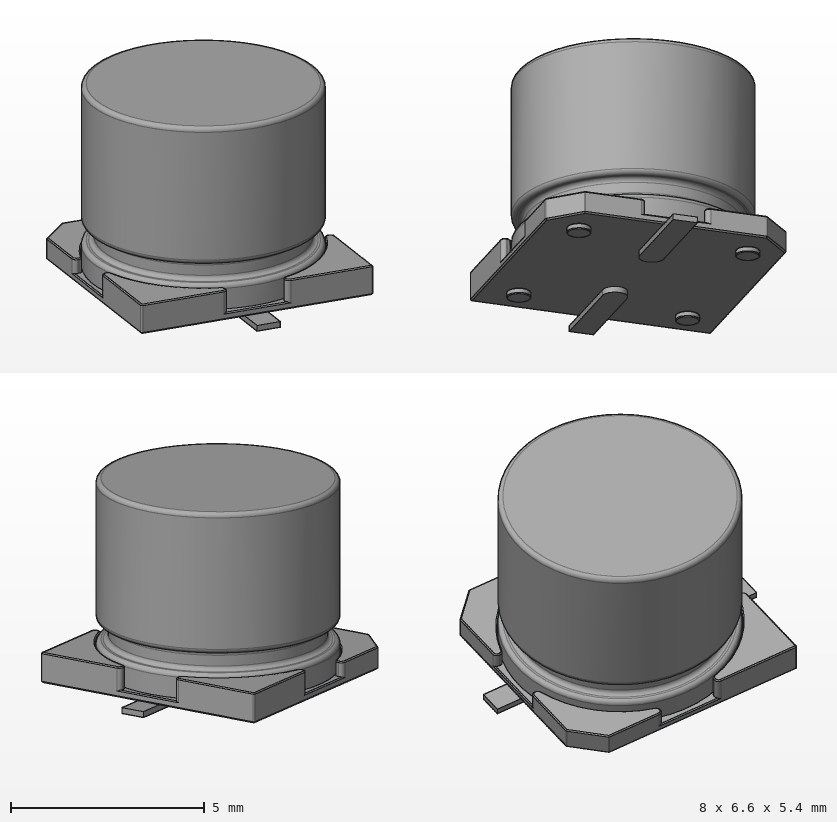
import cadquery as cq
import math

total_height = 5.4
lead_span = 8.0

base_width = 6.6
base_bottom = 0.16
floor_top = 0.36
low_post_top = 0.77
high_post_top = 0.98
corner_cut = 0.8
edge_break = 0.03
bottom_break = 0.04
vertical_round = 0.04
gap_half_width = 0.83
post_end_radius = 0.12
can_clearance = 0.02

can_radius = 6.3 / 2
groove_radius = 5.67 / 2
groove_bottom = 1.06
groove_top = 1.6
can_round = 0.13

lead_width = 0.66
lead_inner_end = 1.09
foot_diameter = 0.63
foot_offset = 2.31
foot_break = 0.02

half_base = base_width / 2
bore_radius = can_radius + can_clearance


def tray_slab(bottom, top):
    """Slab with the tray outline: square, two cut corners at -X, rounded vertical edges."""
    slab = cq.Workplane("XY").workplane(offset=bottom).rect(base_width, base_width).extrude(top - bottom)
    slab = slab.edges("|Z and <X").chamfer(corner_cut)
    return slab.edges("|Z").fillet(vertical_round)


def make_floor():
    """Thin tray floor with broken edges all round."""
    floor = tray_slab(base_bottom, floor_top)
    floor = floor.faces(">Z").edges().chamfer(edge_break)
    return floor.faces("<Z").edges().chamfer(bottom_break)


def make_post(x_side, y_side):
    """Corner post that hugs the can and ends in rounded tips at the gaps."""
    top = low_post_top if x_side < 0 else high_post_top
    bottom = floor_top - edge_break
    height = top - bottom
    side = half_base - gap_half_width
    center = gap_half_width + side / 2
    level = cq.Workplane("XY").workplane(offset=bottom)
    corner_block = level.center(x_side * center, y_side * center).rect(side, side).extrude(height)
    can_bore = level.circle(bore_radius).extrude(height)
    post = tray_slab(bottom, top).intersect(corner_block).cut(can_bore)
    bore_reach = math.sqrt(bore_radius**2 - gap_half_width**2)
    for reach in (half_base, bore_reach):
        for x_tip, y_tip in ((reach, gap_half_width), (gap_half_width, reach)):
            tip = (x_side * x_tip, y_side * y_tip, bottom + height / 2)
            post = post.edges("|Z").edges(cq.selectors.NearestToPointSelector(tip)).fillet(post_end_radius)
    return post.faces(">Z").edges().chamfer(edge_break)


def make_can():
    """Can with a rolled groove near its foot and rounded shoulders."""
    half_profile = (
        cq.Workplane("XZ")
        .moveTo(0, base_bottom)
        .lineTo(can_radius, base_bottom)
        .lineTo(can_radius, groove_bottom)
        .lineTo(groove_radius, groove_bottom)
        .lineTo(groove_radius, groove_top)
        .lineTo(can_radius, groove_top)
        .lineTo(can_radius, total_height)
        .lineTo(0, total_height)
        .close()
    )
    can = half_profile.revolve(360, (0, 0, 0), (0, 1, 0))
    above_floor = cq.selectors.BoxSelector(
        (-can_radius, -can_radius, floor_top),
        (can_radius, can_radius, total_height + can_round),
    )
    return can.edges("%CIRCLE").edges(above_floor).fillet(can_round)


def make_foot(x_side, y_side):
    """Short round foot under one corner, with both rims broken."""
    foot = cq.Workplane("XY").center(x_side * foot_offset, y_side * foot_offset)
    foot = foot.circle(foot_diameter / 2).extrude(base_bottom)
    return foot.edges("%CIRCLE").chamfer(foot_break)


def make_lead(x_side):
    """Flat lead with a half-round inner end, reaching out past the tray."""
    round_center = lead_inner_end + lead_width / 2
    length = lead_span / 2 - round_center
    strip = cq.Workplane("XY").center(x_side * (round_center + length / 2), 0)
    strip = strip.rect(length, lead_width).extrude(base_bottom)
    round_end = cq.Workplane("XY").center(x_side * round_center, 0)
    round_end = round_end.circle(lead_width / 2).extrude(base_bottom)
    return strip.union(round_end)


result = make_floor().union(make_can())
for x_side in (-1, 1):
    result = result.union(make_lead(x_side))
    for y_side in (-1, 1):
        result = result.union(make_post(x_side, y_side))
        result = result.union(make_foot(x_side, y_side))